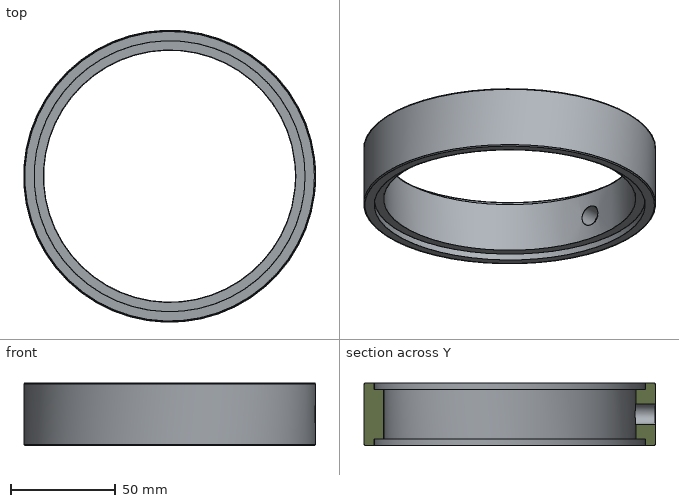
import cadquery as cq

outer_diameter = 139.7
bore_diameter = 120.5
height = 30.0
edge_chamfer = 0.5

recess_diameter = 129.6
recess_depth = 3.1

hole_diameter = 9.8
hole_height = height / 2


def make_ring():
    """Plain ring with both outer rims chamfered."""
    blank = cq.Workplane("XY").circle(outer_diameter / 2).extrude(height)
    blank = blank.faces("<Z or >Z").edges().chamfer(edge_chamfer)
    bore = cq.Workplane("XY").circle(bore_diameter / 2).extrude(height)
    return blank.cut(bore)


def make_recess(base_height):
    """Disc that opens one end of the bore into a step."""
    return (
        cq.Workplane("XY")
        .workplane(offset=base_height)
        .circle(recess_diameter / 2)
        .extrude(recess_depth)
    )


def make_radial_hole():
    """Cylinder from the ring axis out through the +X wall."""
    return (
        cq.Workplane("YZ")
        .center(0, hole_height)
        .circle(hole_diameter / 2)
        .extrude(outer_diameter)
    )


result = make_ring()
for base_height in (0, height - recess_depth):
    result = result.cut(make_recess(base_height))
result = result.cut(make_radial_hole())